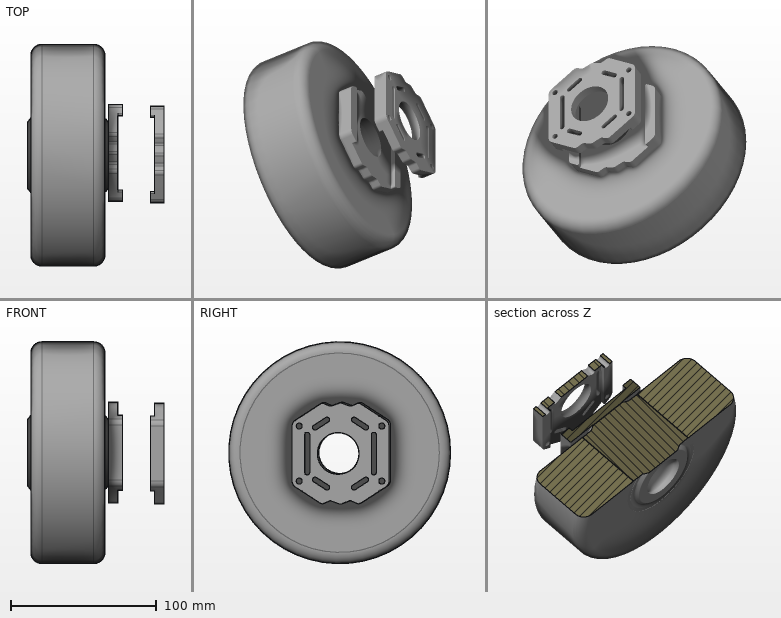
import cadquery as cq
import math


HUB_LENGTH = 55.5
HUB_OVERHANG = 2.3
HUB_DIAMETER = 63.2
HUB_STEP_DIAMETER = 57.5
HUB_STEP_DEPTH = 0.2
BOSS_END_DIAMETER = 45.7
BOSS_BASE_DIAMETER = 51.0
BOSS_FILLET = 0.8
HUB_BORE = 30.2

WHEEL_DIAMETER = 152.4
WHEEL_WIDTH = HUB_LENGTH - 2 * HUB_OVERHANG
WHEEL_FILLET = 7.8

PLATE_HALF_WIDTH = 33.2
PLATE_WEB = 6.5
PLATE_BORE = 28.5
OUTLINE_OFFSET_Y = 1.7
CREST_HEIGHT = 34.9
CREST_SPACING = 12.6
VALLEY_SPACING = 7.0
VALLEY_HEIGHT = 32.3
SHOULDER_ANGLE = 33.0
CREST_FILLET = 3.0
VALLEY_FILLET = 2.5
CORNER_FILLET = 4.9
FLANGE_INNER = 25.5
FLANGE_FILLET = 0.9

SCREW_DIAMETER = 4.1
SCREW_Y = 28.3
SCREW_Z = 18.9
SLOT_WIDTH = 3.5
SLOT_RADIUS = 24.5
SHOULDER_SLOT_LENGTH = 13.3
SIDE_SLOT_Y = 22.9
SIDE_SLOT_LENGTH = 29.3

NEAR_FLANGE = 3.2
FAR_FLANGE = 2.9
FAR_BACK_X = 93.7
FAR_BORE_Y = -1.0
FAR_BORE_Z = -0.6

CORNER_HEIGHT = CREST_HEIGHT - (PLATE_HALF_WIDTH - CREST_SPACING) * math.tan(math.radians(SHOULDER_ANGLE))
TOLERANCE = 0.02


def disc(diameter, start_x, length):
    return cq.Workplane("YZ", origin=(start_x, 0, 0)).circle(diameter / 2).extrude(length)


def make_wheel():
    wheel = disc(WHEEL_DIAMETER, HUB_OVERHANG, WHEEL_WIDTH)
    wheel = wheel.edges().fillet(WHEEL_FILLET)
    return wheel.cut(disc(HUB_DIAMETER, HUB_OVERHANG, WHEEL_WIDTH))


def make_hub():
    """Sleeve turned about X, with a tapered boss at each end."""
    left_face = HUB_OVERHANG
    right_face = HUB_LENGTH - HUB_OVERHANG
    left_step = left_face + HUB_STEP_DEPTH
    right_step = right_face - HUB_STEP_DEPTH
    profile = [
        (0, HUB_BORE / 2),
        (0, BOSS_END_DIAMETER / 2),
        (left_face, BOSS_BASE_DIAMETER / 2),
        (left_face, HUB_STEP_DIAMETER / 2),
        (left_step, HUB_STEP_DIAMETER / 2),
        (left_step, HUB_DIAMETER / 2),
        (right_step, HUB_DIAMETER / 2),
        (right_step, HUB_STEP_DIAMETER / 2),
        (right_face, HUB_STEP_DIAMETER / 2),
        (right_face, BOSS_BASE_DIAMETER / 2),
        (HUB_LENGTH, BOSS_END_DIAMETER / 2),
        (HUB_LENGTH, HUB_BORE / 2),
    ]
    hub = cq.Workplane("XY").polyline(profile).close().revolve(360, (0, 0, 0), (1, 0, 0))
    boss_diameters = (BOSS_END_DIAMETER, BOSS_BASE_DIAMETER)

    def on_boss(edge):
        if edge.geomType() != "CIRCLE":
            return False
        return any(abs(2 * edge.radius() - diameter) < TOLERANCE for diameter in boss_diameters)

    return hub.edges().filter(on_boss).fillet(BOSS_FILLET)


def plate_outline():
    """Corner points of the plate, symmetric in Y and Z, before rounding."""
    top = [
        (PLATE_HALF_WIDTH, CORNER_HEIGHT),
        (CREST_SPACING, CREST_HEIGHT),
        (VALLEY_SPACING, VALLEY_HEIGHT),
        (0, CREST_HEIGHT),
        (-VALLEY_SPACING, VALLEY_HEIGHT),
        (-CREST_SPACING, CREST_HEIGHT),
        (-PLATE_HALF_WIDTH, CORNER_HEIGHT),
    ]
    bottom = [(-y, -z) for y, z in top]
    return top + bottom


def edges_at_y(plate, distances):
    """Edges along X at the given distances either side of the outline centre."""

    def matches(edge):
        return any(abs(abs(edge.Center().y) - distance) < TOLERANCE for distance in distances)

    return plate.edges("|X").filter(matches)


def make_plate(flange_height):
    """Plate with its back on X = 0, its flanges toward +X and its bore on the X axis."""
    plate = cq.Workplane("YZ").polyline(plate_outline()).close().extrude(PLATE_WEB + flange_height)
    plate = edges_at_y(plate, [PLATE_HALF_WIDTH]).fillet(CORNER_FILLET)
    plate = edges_at_y(plate, [0, CREST_SPACING]).fillet(CREST_FILLET)
    plate = edges_at_y(plate, [VALLEY_SPACING]).fillet(VALLEY_FILLET)

    channel = cq.Workplane("YZ", origin=(PLATE_WEB, 0, 0))
    channel = channel.rect(2 * FLANGE_INNER, 3 * CREST_HEIGHT).extrude(flange_height)
    plate = plate.cut(channel)
    plate = edges_at_y(plate, [FLANGE_INNER]).fillet(FLANGE_FILLET)

    plate = plate.translate((0, OUTLINE_OFFSET_Y, 0))
    return plate.cut(disc(PLATE_BORE, 0, PLATE_WEB))


def plate_openings(depth):
    """Screw holes at the four corners, and slots along the sloping edges and the sides."""
    plane = cq.Workplane("YZ", origin=(0, OUTLINE_OFFSET_Y, 0))
    openings = plane.rect(2 * SCREW_Y, 2 * SCREW_Z, forConstruction=True).vertices()
    openings = openings.circle(SCREW_DIAMETER / 2).extrude(depth)
    for side in (-1, 1):
        for end in (-1, 1):
            slot_y = side * SLOT_RADIUS * math.sin(math.radians(SHOULDER_ANGLE))
            slot_z = end * SLOT_RADIUS * math.cos(math.radians(SHOULDER_ANGLE))
            slot = plane.center(slot_y, slot_z)
            slot = slot.slot2D(SHOULDER_SLOT_LENGTH, SLOT_WIDTH, -side * end * SHOULDER_ANGLE)
            openings = openings.union(slot.extrude(depth))
        side_slot = plane.center(side * SIDE_SLOT_Y, 0)
        openings = openings.union(side_slot.slot2D(SIDE_SLOT_LENGTH, SLOT_WIDTH, 90).extrude(depth))
    return openings


def make_near_plate():
    """Plate against the hub end, concentric with it."""
    return make_plate(NEAR_FLANGE).translate((HUB_LENGTH, 0, 0))


def make_far_plate():
    """Plate facing the near one, slightly off the axle axis."""
    plate = make_plate(FAR_FLANGE).cut(plate_openings(PLATE_WEB + FAR_FLANGE))
    return plate.mirror("YZ").translate((FAR_BACK_X, FAR_BORE_Y, FAR_BORE_Z))


wheel = make_wheel()
hub = make_hub()
near_plate = make_near_plate()
far_plate = make_far_plate()

result = cq.Compound.makeCompound([wheel.val(), hub.val(), near_plate.val(), far_plate.val()])